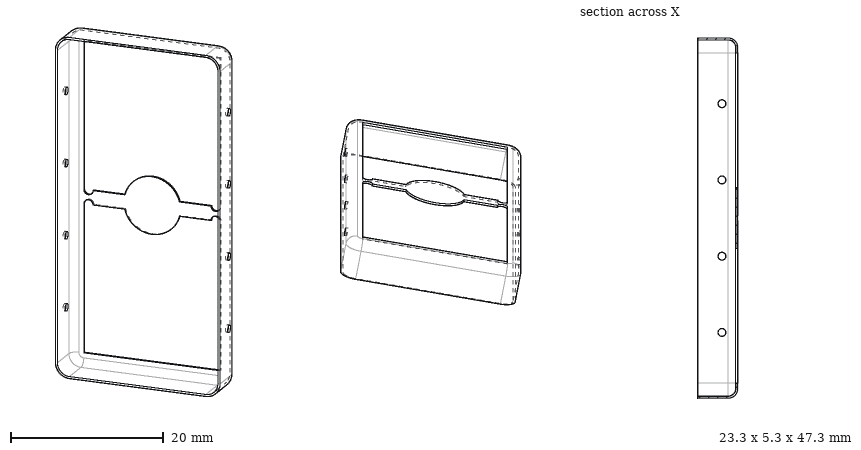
import cadquery as cq

width = 23.3
depth = 5.3
height = 47.3

wall = 0.3
outer_corner_radius = 2.0
outer_edge_radius = 1.3
inner_corner_radius = outer_corner_radius - wall
inner_edge_radius = outer_edge_radius - wall

window_border = 2.0
window_width = width - 2 * window_border
window_height = height - 2 * window_border

disc_diameter = 8.0
bar_height = 2.0
notch_radius = 0.65
notch_x = window_width / 2 - notch_radius

hole_diameter = 1.0
hole_pitch = 10.0
hole_count = 4
hole_from_back = 2.1

back_y = depth
panel_front_y = back_y - wall


def block_along_y(size_x, size_z, start_y, end_y):
    """Box centred on X and Z that spans start_y to end_y."""
    return (
        cq.Workplane("XZ", origin=(0, start_y, 0))
        .rect(size_x, size_z)
        .extrude(start_y - end_y)
    )


def rounded_block(size_x, size_z, end_y, corner_radius, edge_radius):
    """Block from the rim to end_y with round corners and a round back edge."""
    block = block_along_y(size_x, size_z, 0, end_y)
    return block.edges("|Y").fillet(corner_radius).faces(">Y").edges().fillet(edge_radius)


def make_shell():
    outside = rounded_block(width, height, back_y, outer_corner_radius, outer_edge_radius)
    inside = rounded_block(
        width - 2 * wall, height - 2 * wall, panel_front_y, inner_corner_radius, inner_edge_radius
    )
    window = block_along_y(window_width, window_height, panel_front_y - wall, back_y + wall)
    return outside.cut(inside).cut(window)


def make_disc_and_bar():
    bar = block_along_y(window_width + wall, bar_height, panel_front_y, back_y)
    panel_plane = cq.Workplane("XZ", origin=(0, panel_front_y, 0))
    notch_centres = [
        (side_x * notch_x, side_z * bar_height / 2) for side_x in (-1, 1) for side_z in (-1, 1)
    ]
    notches = panel_plane.pushPoints(notch_centres).circle(notch_radius).extrude(-wall)
    disc = panel_plane.circle(disc_diameter / 2).extrude(-wall)
    return bar.cut(notches).union(disc)


def make_side_holes():
    first_z = -hole_pitch * (hole_count - 1) / 2
    hole_y = back_y - hole_from_back
    centres = [(hole_y, first_z + i * hole_pitch) for i in range(hole_count)]
    return (
        cq.Workplane("YZ")
        .pushPoints(centres)
        .circle(hole_diameter / 2)
        .extrude(width / 2, both=True)
    )


result = make_shell().union(make_disc_and_bar()).cut(make_side_holes())